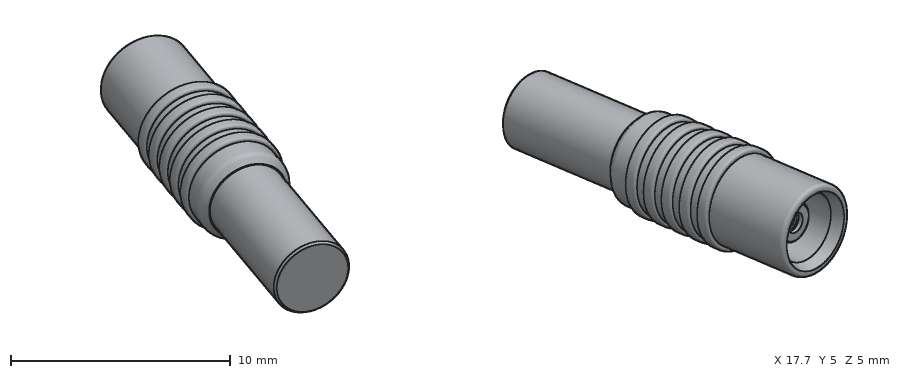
import cadquery as cq
import math

total_length = 17.66
shell_radius = 2.26
shell_edge_round = 0.2

body_start = 4.49
body_end = 10.88
body_radius = 2.31
nose_chamfer = 0.35
nose_round = 0.34

ring_radius = 2.499
ring_count = 5
ring_pitch = 1.104
ring_width = 0.6
ring_round = 0.12

tube_radius = 1.9
tube_end_chamfer = 0.1

mouth_radius = 1.92
mouth_taper_length = 0.6
socket_radius = 1.7
socket_depth = 3.53

post_front = 1.24
post_radius = 0.99
post_chamfer = 0.09
post_bore_radius = 0.5

contact_recess = 0.25
contact_front = post_front + contact_recess
contact_hole_radius = 0.3
contact_hole_depth = 1.06
contact_countersink = 0.07
drill_point_angle = 118.0


def cylinder(start, end, radius):
    """Solid cylinder along X between two stations."""
    return cq.Workplane("YZ", origin=(start, 0, 0)).circle(radius).extrude(end - start)


def revolved(profile):
    """Solid of revolution about X from (station, radius) points."""
    return cq.Workplane("XY").polyline(profile).close().revolve(360, (0, 0, 0), (1, 0, 0))


def make_shell():
    shell = cylinder(0, body_start, shell_radius)
    return shell.faces("<X").edges().fillet(shell_edge_round)


def make_body():
    """Grip body whose rear chamfer blends into the outside through a small round."""
    body = cylinder(body_start, body_end, body_radius)
    body = body.faces(">X").edges().chamfer(nose_chamfer)
    return body.edges("%CIRCLE").edges(">>X[1]").fillet(nose_round)


def make_ring(start):
    """Grip ring with both rims rounded."""
    ring = cylinder(start, start + ring_width, ring_radius)
    return ring.edges("%CIRCLE").fillet(ring_round)


def make_tube():
    tube = cylinder(body_start, total_length, tube_radius)
    return tube.faces(">X").edges().chamfer(tube_end_chamfer)


def make_socket():
    return revolved([
        (0, 0),
        (0, mouth_radius),
        (mouth_taper_length, socket_radius),
        (socket_depth, socket_radius),
        (socket_depth, 0),
    ])


def make_post():
    post = cylinder(post_front, socket_depth, post_radius)
    post = post.faces("<X").edges().chamfer(post_chamfer)
    return post.cut(cylinder(post_front, contact_front, post_bore_radius))


def make_contact_hole():
    """Countersunk blind hole ending in a drill point."""
    point_start = contact_front + contact_hole_depth
    point_length = contact_hole_radius / math.tan(math.radians(drill_point_angle / 2))
    return revolved([
        (contact_front, 0),
        (contact_front, contact_hole_radius + contact_countersink),
        (contact_front + contact_countersink, contact_hole_radius),
        (point_start, contact_hole_radius),
        (point_start + point_length, 0),
    ])


result = make_shell().union(make_body()).union(make_tube())
for ring_index in range(ring_count):
    result = result.union(make_ring(body_start + ring_index * ring_pitch))
result = result.cut(make_socket()).union(make_post()).cut(make_contact_hole())